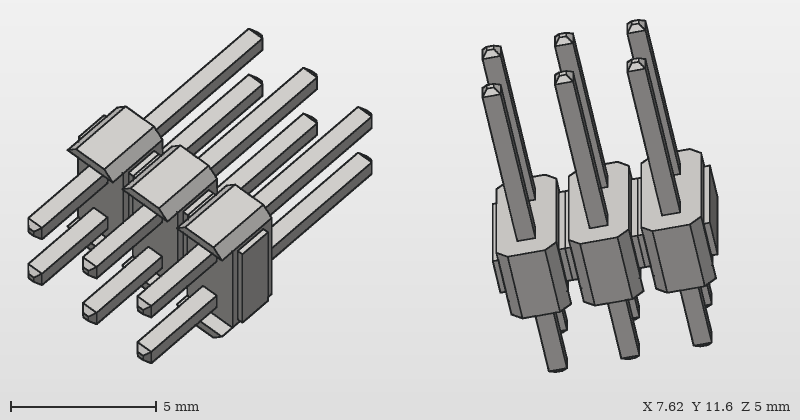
import cadquery as cq


SECTION_COUNT = 3
ROW_LENGTH = 7.62
PITCH = ROW_LENGTH / SECTION_COUNT
PIN_SPACING = 2.54

HOUSING_WIDTH = 2.11
HOUSING_HEIGHT = 5.0
CAP_HEIGHT = 0.4
CAP_DEPTH = 2.54
CORE_DEPTH = 2.0
CORE_HEIGHT = HOUSING_HEIGHT - 2 * CAP_HEIGHT
BACK_Y = -0.28

TAB_HEIGHT = 3.8
TAB_DEPTH = 1.3
TAB_SETBACK = 0.43

PIN_LENGTH = 11.64
PIN_SIDE = 0.64
TIP_LENGTH = 0.2
TIP_SIDE = 0.25


def block(width, depth, height, back_y):
    """Box centered in X and Z that reaches forward (-Y) from back_y."""
    return cq.Workplane("XY").box(width, depth, height).translate((0, back_y - depth / 2, 0))


def make_cap():
    """Top cap with both long edges beveled, standing on the core."""
    half_width = HOUSING_WIDTH / 2
    half_flat = half_width - CAP_HEIGHT
    return (
        cq.Workplane("XZ", origin=(0, BACK_Y, CORE_HEIGHT / 2))
        .moveTo(-half_width, 0)
        .lineTo(half_width, 0)
        .lineTo(half_flat, CAP_HEIGHT)
        .lineTo(-half_flat, CAP_HEIGHT)
        .close()
        .extrude(CAP_DEPTH)
    )


def make_pin():
    """Square pin centered on the Y axis, tapered at both ends."""
    shaft_length = PIN_LENGTH - 2 * TIP_LENGTH
    shaft = cq.Workplane("XY").box(PIN_SIDE, shaft_length, PIN_SIDE)
    front_tip = (
        cq.Workplane("XZ", origin=(0, -shaft_length / 2, 0))
        .rect(PIN_SIDE, PIN_SIDE)
        .workplane(offset=TIP_LENGTH)
        .rect(TIP_SIDE, TIP_SIDE)
        .loft(ruled=True)
    )
    return shaft.union(front_tip).union(front_tip.mirror("XZ"))


def make_section():
    """One section: core, two caps, side tabs and two pins as a single solid."""
    core = block(HOUSING_WIDTH, CORE_DEPTH, CORE_HEIGHT, BACK_Y)
    tabs = block(PITCH, TAB_DEPTH, TAB_HEIGHT, BACK_Y - TAB_SETBACK)
    cap = make_cap()
    section = core.union(tabs).union(cap).union(cap.mirror("XY"))
    pin = make_pin()
    for pin_z in (-PIN_SPACING / 2, PIN_SPACING / 2):
        section = section.union(pin.translate((0, 0, pin_z)))
    return section


section = make_section()
sections = []
for index in range(SECTION_COUNT):
    section_x = (index - (SECTION_COUNT - 1) / 2) * PITCH
    sections.append(section.translate((section_x, 0, 0)).val())

result = cq.Compound.makeCompound(sections)